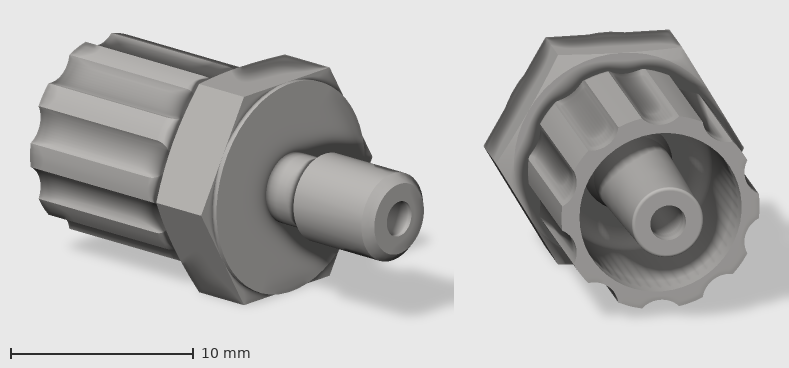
import cadquery as cq
import math

total_length = 24.3
bore_diameter = 2.0

nose_tip_radius = 2.0
nose_edge_round = 0.17
nose_length = 9.0
nose_base_radius = 2.24
ridge_radius = 2.53
retainer_neck_radius = 4.4 / 2

hex_start = 12.3
hex_end = 15.97
hex_across_flats = 12.0
hex_across_corners = hex_across_flats / math.cos(math.radians(30))
hex_chamfer_length = 0.35
washer_end = 16.25

stub_neck_radius = 4.0 / 2
stub_radius = 5.0 / 2
stub_cone_start = 18.3
stub_cone_length = 0.45
stub_end_chamfer = stub_radius - stub_neck_radius

collar_start = 2.0
collar_end = 11.74
collar_radius = 5.55
collar_inner_radius = 9.06 / 2
collar_round = 1.0
collar_floor = collar_end - collar_round
collar_hole_diameter = 4.57
flute_count = 10
flute_radius = 1.45
flute_bottom_radius = 5.0
flute_center_radius = flute_bottom_radius + flute_radius


def cylinder(start, end, diameter):
    """Cylinder around the X axis."""
    return cq.Workplane("YZ", origin=(start, 0, 0)).circle(diameter / 2).extrude(end - start)


def revolve_about_x(profile):
    """Full turn of an XY profile about the X axis."""
    return profile.revolve(360, (0, 0, 0), (1, 0, 0))


def make_nose():
    """Tapered tube, retaining ridge and the neck on which the collar turns."""
    nose = revolve_about_x(
        cq.Workplane("XY")
        .lineTo(0, nose_tip_radius)
        .lineTo(nose_length, nose_base_radius)
        .lineTo(collar_floor, ridge_radius)
        .lineTo(collar_floor, retainer_neck_radius)
        .lineTo(hex_start, retainer_neck_radius)
        .lineTo(hex_start, 0)
        .close()
    )
    return nose.faces("<X").edges().fillet(nose_edge_round)


def make_flange():
    """Hexagon with a conical chamfer on the front and a round washer face on the back."""
    hexagon = (
        cq.Workplane("YZ", origin=(hex_start, 0, 0))
        .polygon(6, hex_across_corners)
        .extrude(hex_end - hex_start)
    )
    chamfer_envelope = revolve_about_x(
        cq.Workplane("XY")
        .moveTo(hex_start, 0)
        .lineTo(hex_start, hex_across_flats / 2)
        .lineTo(hex_start + hex_chamfer_length, hex_across_corners / 2)
        .lineTo(hex_end, hex_across_corners / 2)
        .lineTo(hex_end, 0)
        .close()
    )
    washer = cylinder(hex_end, washer_end, hex_across_flats)
    return hexagon.intersect(chamfer_envelope).union(washer)


def make_stub():
    """Narrow neck widening to a plain stub with a chamfered end."""
    return revolve_about_x(
        cq.Workplane("XY")
        .moveTo(washer_end, 0)
        .lineTo(washer_end, stub_neck_radius)
        .lineTo(stub_cone_start, stub_neck_radius)
        .lineTo(stub_cone_start + stub_cone_length, stub_radius)
        .lineTo(total_length - stub_end_chamfer, stub_radius)
        .lineTo(total_length, stub_radius - stub_end_chamfer)
        .lineTo(total_length, 0)
        .close()
    )


def make_fitting():
    """Nose, flange and stub in one piece, bored through."""
    fitting = make_nose().union(make_flange()).union(make_stub())
    return fitting.cut(cylinder(0, total_length, bore_diameter))


def make_collar():
    """Cup with rounded bottom, a hole for the neck and flutes around the outside."""
    shell = cylinder(collar_start, collar_end, 2 * collar_radius)
    shell = shell.faces(">X").edges().fillet(collar_round)
    cavity = cylinder(collar_start, collar_floor, 2 * collar_inner_radius)
    cavity = cavity.faces(">X").edges().fillet(collar_round)
    hole = cylinder(collar_floor, collar_end, collar_hole_diameter)
    collar = shell.cut(cavity).cut(hole)
    flutes = (
        cq.Workplane("YZ", origin=(collar_start, 0, 0))
        .polarArray(flute_center_radius, 90, 360, flute_count)
        .circle(flute_radius)
        .extrude(collar_end - collar_start)
    )
    return collar.cut(flutes)


fitting = make_fitting()
collar = make_collar()

result = cq.Compound.makeCompound([fitting.val(), collar.val()])